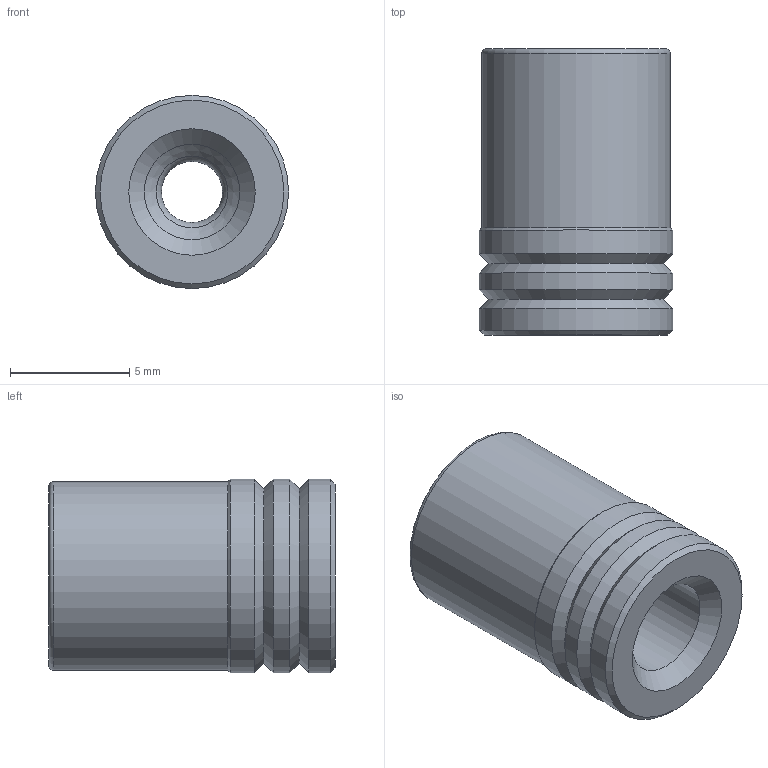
import cadquery as cq
import math

total_length = 12.0
collar_radius = 8.1 / 2
collar_length = 4.5
barrel_radius = 7.9 / 2

front_chamfer = 0.2
rear_fillet = 0.2
bore_radius = 4.0 / 2
mouth_radius = 5.3 / 2

groove_count = 2
groove_pitch = collar_length / (groove_count + 1)
groove_depth = 0.4

insert_start = collar_length
funnel_end_radius = 3.0 / 2
throat_round = 0.75
funnel_angle = math.radians(45)


def revolve_about_y(profile):
    """Turn a closed (radius, Y) profile through a full circle about the Y axis."""
    return profile.revolve(360, (0, 0, 0), (0, 1, 0))


def make_groove(center_y):
    """Ring with a triangular section that cuts one V groove into the collar."""
    profile = (
        cq.Workplane("XY")
        .moveTo(collar_radius - groove_depth, center_y)
        .lineTo(collar_radius, center_y - groove_depth)
        .lineTo(collar_radius, center_y + groove_depth)
        .close()
    )
    return revolve_about_y(profile)


def make_sleeve():
    """Grooved collar and plain barrel around a bore with a countersunk mouth."""
    step_height = collar_radius - barrel_radius
    mouth_depth = mouth_radius - bore_radius
    profile = (
        cq.Workplane("XY")
        .moveTo(mouth_radius, 0)
        .lineTo(collar_radius - front_chamfer, 0)
        .lineTo(collar_radius, front_chamfer)
        .lineTo(collar_radius, collar_length - step_height)
        .lineTo(barrel_radius, collar_length)
        .lineTo(barrel_radius, total_length - rear_fillet)
        .radiusArc((barrel_radius - rear_fillet, total_length), -rear_fillet)
        .lineTo(bore_radius, total_length)
        .lineTo(bore_radius, mouth_depth)
        .close()
    )
    body = revolve_about_y(profile)
    for index in range(1, groove_count + 1):
        body = body.cut(make_groove(index * groove_pitch))
    return body


def make_insert():
    """Liner that fills the bore behind the collar and narrows to the throat."""
    throat_radius = funnel_end_radius - throat_round * (1 - math.cos(funnel_angle))
    funnel_end_y = insert_start + (bore_radius - funnel_end_radius) / math.tan(funnel_angle)
    throat_y = funnel_end_y + throat_round * math.sin(funnel_angle)
    profile = (
        cq.Workplane("XY")
        .moveTo(bore_radius, insert_start)
        .lineTo(bore_radius, total_length)
        .lineTo(throat_radius, total_length)
        .lineTo(throat_radius, throat_y)
        .radiusArc((funnel_end_radius, funnel_end_y), -throat_round)
        .close()
    )
    return revolve_about_y(profile)


sleeve = make_sleeve()
insert = make_insert()

result = cq.Compound.makeCompound([sleeve.val(), insert.val()])